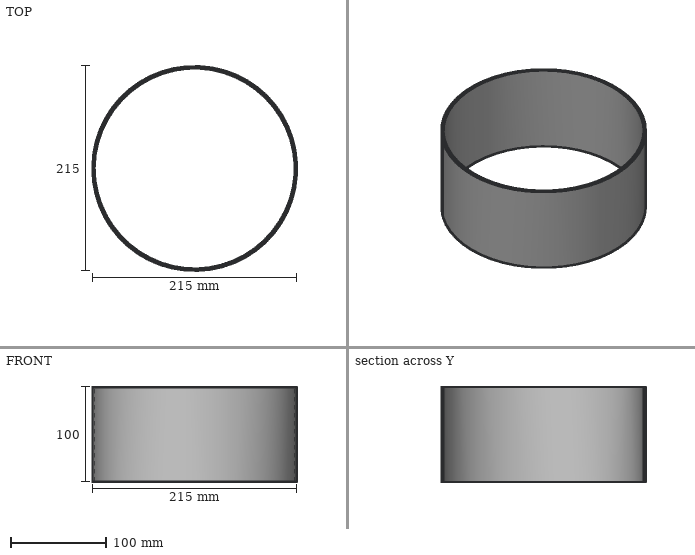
import cadquery as cq

outer_diameter = 215.0
wall_thickness = 2.5
height = 100.0
outer_rim_chamfer = 0.5
inner_rim_chamfer = 0.2
slit_angle = 1.0

outer_radius = outer_diameter / 2
inner_radius = outer_radius - wall_thickness


def wall_profile():
    """Wall section on the -X side, with chamfered outer and inner rim corners."""
    return (
        cq.Workplane("XZ")
        .moveTo(-inner_radius, inner_rim_chamfer)
        .lineTo(-inner_radius - inner_rim_chamfer, 0)
        .lineTo(-outer_radius + outer_rim_chamfer, 0)
        .lineTo(-outer_radius, outer_rim_chamfer)
        .lineTo(-outer_radius, height - outer_rim_chamfer)
        .lineTo(-outer_radius + outer_rim_chamfer, height)
        .lineTo(-inner_radius - inner_rim_chamfer, height)
        .lineTo(-inner_radius, height - inner_rim_chamfer)
        .close()
    )


def make_split_band():
    """Band swept about Z from the -X side, stopping short to leave the slit."""
    axis_start = (0, 0, 0)
    axis_end = (0, 1, 0)
    return wall_profile().revolve(360 - slit_angle, axis_start, axis_end)


result = make_split_band()